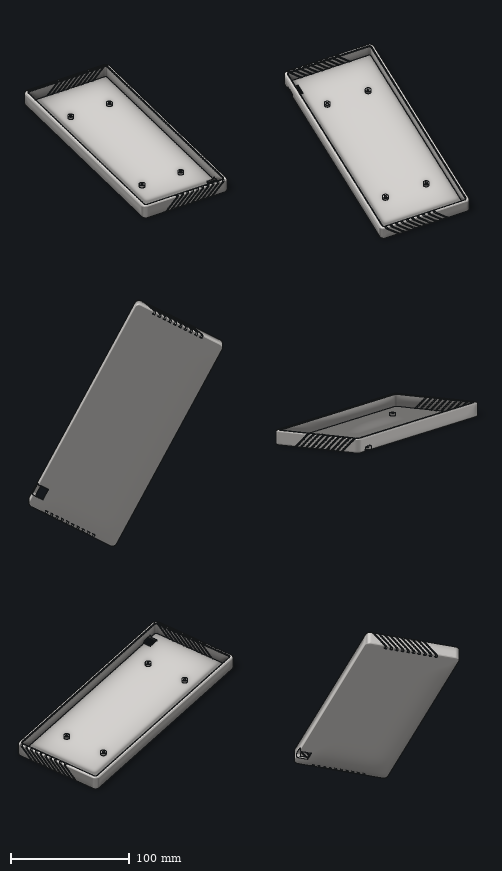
import cadquery as cq

LENGTH = 202.66
WIDTH = 83.6
HEIGHT = 12.8
CORNER_RADIUS = 4.2
EDGE_FILLET = 1.5

WALL = 3.3
FLOOR = 1.9
INNER_CORNER_RADIUS = 1.6
RIM_CHAMFER = 0.6
CAVITY_LENGTH = LENGTH - 2 * WALL
CAVITY_WIDTH = WIDTH - 2 * WALL

BOSS_SPACING_X = 119.06
BOSS_SPACING_Y = 38.0
BOSS_DIAMETER = 5.0
BOSS_HEIGHT = 2.3
BOSS_HOLE_DIAMETER = 1.8

PORT_CENTER_X = 85.9
PORT_LENGTH = 10.0
PORT_REACH_INSIDE = 6.5
PORT_HEIGHT_ABOVE_FLOOR = 2.5
PORT_CORNER_RADIUS = 1.5

GROOVE_COUNT = 10
GROOVE_PITCH = 5.0
GROOVE_WIDTH = 1.0
GROOVE_DEPTH = 3.0
GROOVE_SLANT = 45.0
FIRST_GROOVE_Y = 30.5
GROOVE_CUTTER_LENGTH = 4 * HEIGHT


def make_tray():
    """Rounded block with filleted edges, hollowed out, with a chamfered inner rim."""
    body = cq.Workplane("XY").box(LENGTH, WIDTH, HEIGHT, centered=(True, True, False))
    body = body.edges("|Z").fillet(CORNER_RADIUS)
    body = body.faces("<Z or >Z").edges().fillet(EDGE_FILLET)
    cavity = (
        cq.Workplane("XY", origin=(0, 0, FLOOR))
        .rect(CAVITY_LENGTH, CAVITY_WIDTH)
        .extrude(HEIGHT - FLOOR)
        .edges("|Z")
        .fillet(INNER_CORNER_RADIUS)
    )
    hollow = body.cut(cavity)
    rim_wire = hollow.faces(">Z").wires(cq.selectors.AreaNthSelector(0))
    return rim_wire.edges().chamfer(RIM_CHAMFER)


def add_bosses(body):
    """Four round bosses whose blind screw holes stop at the floor."""
    bosses = (
        cq.Workplane("XY", origin=(0, 0, FLOOR))
        .rect(BOSS_SPACING_X, BOSS_SPACING_Y, forConstruction=True)
        .vertices()
        .circle(BOSS_DIAMETER / 2)
        .circle(BOSS_HOLE_DIAMETER / 2)
        .extrude(BOSS_HEIGHT)
    )
    return body.union(bosses)


def cut_port(body):
    """Opening in the floor that continues out through the back wall, round at its top corners."""
    reach = PORT_REACH_INSIDE + WALL
    port_height = FLOOR + PORT_HEIGHT_ABOVE_FLOOR
    port = (
        cq.Workplane("XY")
        .box(PORT_LENGTH, reach, port_height, centered=(True, False, False))
        .edges("|Y and >Z")
        .fillet(PORT_CORNER_RADIUS)
        .translate((PORT_CENTER_X, WIDTH / 2 - reach, 0))
    )
    return body.cut(port)


def cut_grooves(body):
    """Row of parallel slanted grooves in the outside of both end walls."""
    cutter = (
        cq.Workplane("XY")
        .box(2 * GROOVE_DEPTH, GROOVE_WIDTH, GROOVE_CUTTER_LENGTH)
        .rotate((0, 0, 0), (1, 0, 0), -GROOVE_SLANT)
    )
    for index in range(GROOVE_COUNT):
        groove_y = FIRST_GROOVE_Y - index * GROOVE_PITCH
        for end_x in (-LENGTH / 2, LENGTH / 2):
            body = body.cut(cutter.translate((end_x, groove_y, HEIGHT / 2)))
    return body


tray = make_tray()
tray = add_bosses(tray)
tray = cut_port(tray)
result = cut_grooves(tray)